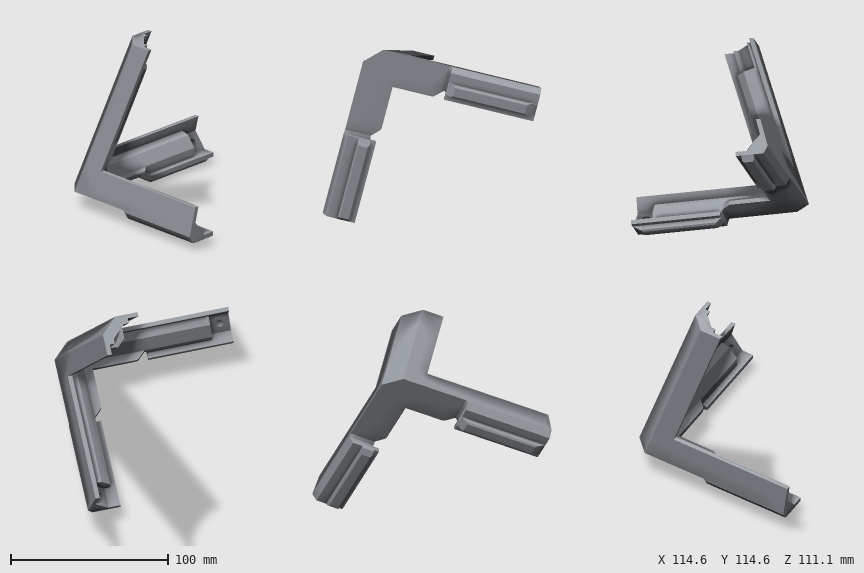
import cadquery as cq
import math

span = 114.6
height = 111.1

lean = 14.4
widest_level = 8.8
slope = math.tan(math.radians(lean))
wall = 2.9
edge_chamfer = 10.4

arm_top = 28.0
underside = 10.0
floor_bottom = 4.0
floor_top = 6.9
flange_width = 21.1
lower_edge_inset = 2.9
buttress_leg = 14.9
buttress_end_gap = 13.2
arm_buttress_depth = 5.8
arm_gusset_leg = 10.9
hole_diameter = 5.0
hole_depth = 5.7
hole_end_gap = 6.5

rail_inner = 17.4
rail_outer = 9.5
rail_chamfer = 1.0
x_body_start = 56.0
x_body_chamfer = 1.1
x_rail_sole = (60.5, 107.9)
y_body_start = 59.1
y_body_chamfer = 1.6
y_rail_sole = (62.8, 112.2)
y_rail_end_level = 2.3

post_leg = 24.7
post_step_leg = 15.0
post_step_depth = 3.3
post_buttress_depth = 10.5
post_buttress_end_gap = 12.8

plate_thickness = floor_top + arm_buttress_depth - underside
plate_width = 22.7
plate_x_end = 72.1
plate_y_end = 74.7
plate_radius = 4.0


def wall_offset(level):
    """Distance of an outer wall face from its widest position, at a level."""
    return (level - widest_level) * slope


def lean_extrude(points, bottom, top):
    """Extrude a horizontal outline, placed at the bottom level, along the leaning corner edge."""
    rise = top - bottom
    outline = cq.Wire.makePolygon([cq.Vector(x, y, bottom) for x, y in points], close=True)
    direction = cq.Vector(rise * slope, rise * slope, rise)
    return cq.Workplane(obj=cq.Solid.extrudeLinear(outline, [], direction))


def buttress_outline(half_angle, leg, depth):
    """Corner filling with a square step at each end; local x is the bisector of the corner."""
    foot_x = leg * math.cos(half_angle)
    foot_y = leg * math.sin(half_angle)
    tip_x = foot_x + depth * math.sin(half_angle)
    tip_y = foot_y - depth * math.cos(half_angle)
    return [(0, 0), (foot_x, -foot_y), (tip_x, -tip_y), (tip_x, tip_y), (foot_x, foot_y)]


def make_arm(body_start, body_chamfer, rail_outline):
    """Arm along +X: leaning wall, flange, buttress, end gusset with a hole, and rail."""
    inner_y = wall_offset(floor_top) + wall
    half_angle = math.radians(90 - lean) / 2
    bisector = cq.Vector(0, math.cos(half_angle), math.sin(half_angle))

    section = [
        (lower_edge_inset, floor_bottom),
        (flange_width, floor_bottom),
        (flange_width, floor_top),
        (inner_y, floor_top),
        (wall_offset(arm_top) + wall, arm_top),
        (wall_offset(arm_top), arm_top),
        (0, widest_level),
    ]
    arm = cq.Workplane("YZ").polyline(section).close().extrude(span)

    corner = cq.Plane(origin=(0, inner_y, floor_top), xDir=bisector, normal=(1, 0, 0))
    buttress = buttress_outline(half_angle, buttress_leg, arm_buttress_depth)
    arm = arm.union(cq.Workplane(corner).polyline(buttress).close().extrude(span - buttress_end_gap))
    gusset_x = arm_gusset_leg * math.cos(half_angle)
    gusset_y = arm_gusset_leg * math.sin(half_angle)
    gusset = [(0, 0), (gusset_x, -gusset_y), (gusset_x, gusset_y)]
    arm = arm.union(cq.Workplane(corner).polyline(gusset).close().extrude(span))

    mouth = cq.Vector(span - hole_end_gap, inner_y, floor_top) + bisector * gusset_x
    arm = arm.cut(cq.Workplane(obj=cq.Solid.makeCylinder(hole_diameter / 2, hole_depth, mouth, -bisector)))

    clearance = [
        (0, 0),
        (body_start, 0),
        (body_start, underside - body_chamfer),
        (body_start - body_chamfer, underside),
        (0, underside),
    ]
    arm = arm.cut(cq.Workplane("XZ").polyline(clearance).close().extrude(-span / 2))

    rail = (
        cq.Workplane("XZ", origin=(0, rail_outer, 0))
        .polyline(rail_outline)
        .close()
        .extrude(rail_outer - rail_inner)
    )
    rail_section = [
        (rail_outer, floor_bottom),
        (rail_outer, rail_chamfer),
        (rail_outer + rail_chamfer, 0),
        (rail_inner - rail_chamfer, 0),
        (rail_inner, rail_chamfer),
        (rail_inner, floor_bottom),
    ]
    rail = rail.intersect(cq.Workplane("YZ").polyline(rail_section).close().extrude(span))
    return arm.union(rail)


def swap_xy(body):
    """Mirror a body across the diagonal plane x = y."""
    return body.mirror("XZ").rotate((0, 0, 0), (0, 0, 1), 90)


def make_post():
    """Leaning corner post: two walls with stepped inner sides, and a buttress."""
    outer = wall_offset(underside)
    step = wall + post_step_depth
    step_leg = wall + post_step_leg
    gusset = wall + post_step_leg - post_step_depth
    half_outline = [
        (0, post_leg),
        (wall, post_leg),
        (wall, step_leg),
        (step, step_leg),
        (step, gusset),
    ]
    outline = [(0, 0)] + half_outline + [(y, x) for x, y in reversed(half_outline)]
    post = lean_extrude([(x + outer, y + outer) for x, y in outline], underside, height)

    edge = cq.Vector(slope, slope, 1).normalized()
    bisector = cq.Vector(1, 1, -2 * slope)
    inner = wall_offset(height) + wall
    end = cq.Vector(inner, inner, height) - edge * post_buttress_end_gap
    half_angle = math.acos(-(math.sin(math.radians(lean)) ** 2)) / 2
    buttress = buttress_outline(half_angle, buttress_leg, post_buttress_depth)
    plane = cq.Plane(origin=end, xDir=bisector, normal=edge)
    post = post.union(cq.Workplane(plane).polyline(buttress).close().extrude(-height))
    room = cq.Workplane().box(span, span, height, centered=False).translate((0, 0, underside))
    return post.intersect(room)


def make_plate():
    """Angled plate between the arms, with slanted and rounded ends."""
    turn_x = plate_x_end - plate_width
    turn_y = plate_y_end - plate_width
    outline = [
        (0, 0),
        (plate_x_end, 0),
        (turn_x, plate_width),
        (plate_width, plate_width),
        (plate_width, turn_y),
        (0, plate_y_end),
    ]
    plate = cq.Workplane("XY", origin=(0, 0, underside)).polyline(outline).close().extrude(plate_thickness)
    for x, y in [(turn_x, plate_width), (plate_width, turn_y)]:
        corner = cq.selectors.NearestToPointSelector((x, y, underside + plate_thickness / 2))
        plate = plate.edges("|Z").edges(corner).fillet(plate_radius)
    return plate


x_rail = [
    (x_body_start, floor_bottom),
    (x_rail_sole[0], 0),
    (x_rail_sole[1], 0),
    (span, floor_bottom),
]
y_rail = [
    (y_body_start, floor_bottom),
    (y_body_start, y_rail_end_level),
    (y_rail_sole[0], 0),
    (y_rail_sole[1], 0),
    (span, floor_bottom),
]
x_arm = make_arm(x_body_start, x_body_chamfer, x_rail)
y_arm = swap_xy(make_arm(y_body_start, y_body_chamfer, y_rail))

base = wall_offset(0)
envelope_outline = [
    (base + edge_chamfer, base),
    (2 * span, base),
    (2 * span, 2 * span),
    (base, 2 * span),
    (base, base + edge_chamfer),
]
envelope = lean_extrude(envelope_outline, 0, height)

corner_bracket = x_arm.union(y_arm).union(make_post()).union(make_plate()).intersect(envelope)
result = cq.Workplane(obj=corner_bracket.solids().val())